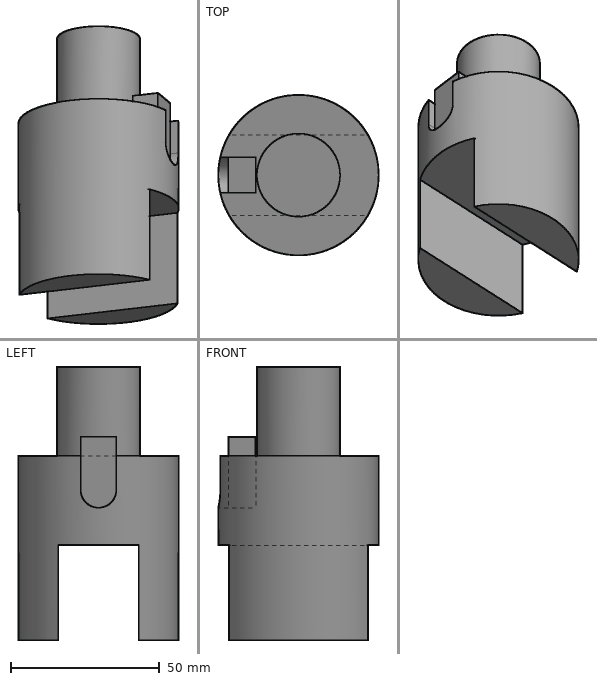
import cadquery as cq

total_height = 92.0
body_height = 62.0

body_diameter = 54.0
shaft_diameter = 28.0

slot_width = 27.05
slot_height = 32.0

key_width = 12.0
key_bottom = 44.6
key_top = 68.45
key_outer_x = -23.55
key_inner_x = -14.4

body_radius = body_diameter / 2
key_radius = key_width / 2


def round_ended_bar(inner_x, outer_x, bottom, top):
    """Bar with a flat top and a half-round bottom, thick along X."""
    arc_center_z = bottom + key_radius
    return (
        cq.Workplane("YZ", origin=(outer_x, 0, 0))
        .moveTo(-key_radius, top)
        .lineTo(-key_radius, arc_center_z)
        .threePointArc((0, bottom), (key_radius, arc_center_z))
        .lineTo(key_radius, top)
        .close()
        .extrude(inner_x - outer_x)
    )


def make_fork_body():
    """Cylinder with a cross slot below and a keyway in its side."""
    body = cq.Workplane("XY").circle(body_radius).extrude(body_height)
    slot = cq.Workplane("XY").box(
        body_diameter, slot_width, slot_height, centered=(True, True, False)
    )
    keyway = round_ended_bar(key_inner_x, -body_radius, key_bottom, body_height)
    return body.cut(slot).cut(keyway)


def make_shaft():
    """Plain round shaft standing on the top face of the body."""
    return (
        cq.Workplane("XY", origin=(0, 0, body_height))
        .circle(shaft_diameter / 2)
        .extrude(total_height - body_height)
    )


def make_key():
    """Key seated against the bottom of the keyway and rising above the body."""
    return round_ended_bar(key_inner_x, key_outer_x, key_bottom, key_top)


fork_body = make_fork_body()
shaft = make_shaft()
key = make_key()

result = cq.Compound.makeCompound([fork_body.val(), shaft.val(), key.val()])